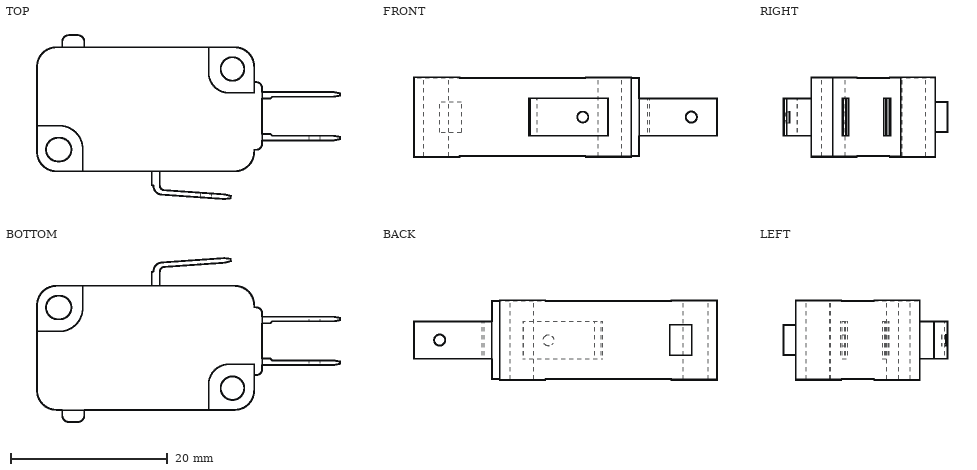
import cadquery as cq
import math

BODY_LENGTH = 27.77
BODY_WIDTH = 15.88
BODY_HEIGHT = 10.0
CORNER_RADIUS = 2.5

PAD_SIZE = 5.85
PAD_RISE = 0.1
ROUND_PAD_RADIUS = 2.65
SLOT_PAD_RADIUS = 3.0
HOLE_DIAMETER = 3.0
HOLE_INSET = 2.8
SLOT_LENGTH = 3.2
CUT_HEIGHT = 2 * BODY_HEIGHT

BLOCK_END = 28.78
BLOCK_BOTTOM = 2.75
BLOCK_TOP = 11.43
BLOCK_RADIUS = 0.77

PLUNGER_LEFT = 3.2
PLUNGER_WIDTH = 2.85
PLUNGER_RISE = 1.55
PLUNGER_RADIUS = 0.9
PLUNGER_HEIGHT = 3.87

BLADE_WIDTH = 4.8
BLADE_THICKNESS = 0.62
BLADE_HOLE_DIAMETER = 1.4
TERMINAL_END = 38.73
TERMINAL_HOLE_X = 35.45
TIP_LENGTH = 0.8
TIP_BEVEL = 0.15
ROOT_END = 29.82
ROOT_STEP = 0.25
UPPER_TERMINAL_FACE = 10.15
LOWER_TERMINAL_FACE = 3.95

BENT_LEFT = 14.65
BENT_STEP_Y = -1.75
BEND_OUTER_RADIUS = 1.15
BEND_INNER_RADIUS = BEND_OUTER_RADIUS - BLADE_THICKNESS
BEND_CENTER_X = BENT_LEFT + ROOT_STEP + BEND_OUTER_RADIUS
BEND_CENTER_Y = -1.82
BENT_BLADE_ANGLE = 4.0
BENT_BLADE_LENGTH = 8.83
BENT_HOLE_X = 21.57


def slab(outline, height):
    """Extrude a closed XY outline evenly above and below Z = 0."""
    return outline.extrude(height / 2, both=True)


def plate(left, right, bottom, top, height):
    """Rectangular plate centered on Z = 0."""
    center = ((left + right) / 2, (bottom + top) / 2)
    return slab(cq.Workplane("XY").center(*center).rect(right - left, top - bottom), height)


def rounded_housing(height):
    return plate(0, BODY_LENGTH, 0, BODY_WIDTH, height).edges("|Z").fillet(CORNER_RADIUS)


def make_housing():
    """Housing with pads that follow its rounded corners on both faces."""
    pad_height = BODY_HEIGHT + 2 * PAD_RISE
    slot_pad = plate(0, PAD_SIZE, 0, PAD_SIZE, pad_height)
    slot_pad = slot_pad.edges("|Z and >X and >Y").fillet(SLOT_PAD_RADIUS)
    round_pad = plate(
        BODY_LENGTH - PAD_SIZE, BODY_LENGTH, BODY_WIDTH - PAD_SIZE, BODY_WIDTH, pad_height
    )
    round_pad = round_pad.edges("|Z and <X and <Y").fillet(ROUND_PAD_RADIUS)
    pads = slot_pad.union(round_pad).intersect(rounded_housing(pad_height))
    return rounded_housing(BODY_HEIGHT).union(pads)


def make_terminal_block():
    block_start = BODY_LENGTH - CORNER_RADIUS
    block = plate(block_start, BLOCK_END, BLOCK_BOTTOM, BLOCK_TOP, BODY_HEIGHT)
    return block.edges("|Z and >X").fillet(BLOCK_RADIUS)


def make_plunger():
    plunger = plate(
        PLUNGER_LEFT,
        PLUNGER_LEFT + PLUNGER_WIDTH,
        BODY_WIDTH - CORNER_RADIUS,
        BODY_WIDTH + PLUNGER_RISE,
        PLUNGER_HEIGHT,
    )
    return plunger.edges("|Z and >Y").fillet(PLUNGER_RADIUS)


def blade_hole(x):
    """Circle for a hole along Y through a blade."""
    return cq.Workplane("XZ").center(x, 0).circle(BLADE_HOLE_DIAMETER / 2)


def make_terminal(outer_face, inward):
    """Straight terminal; inward is the Y direction from its outer face to its stepped face."""
    inner_face = outer_face + inward * BLADE_THICKNESS
    root_face = inner_face + inward * ROOT_STEP
    bevel = inward * TIP_BEVEL
    tip_start = TERMINAL_END - TIP_LENGTH
    outline = cq.Workplane("XY").polyline([
        (BODY_LENGTH, outer_face),
        (tip_start, outer_face),
        (TERMINAL_END, outer_face + bevel),
        (TERMINAL_END, inner_face - bevel),
        (tip_start, inner_face),
        (ROOT_END + ROOT_STEP, inner_face),
        (ROOT_END, root_face),
        (BODY_LENGTH, root_face),
    ]).close()
    hole = blade_hole(TERMINAL_HOLE_X).extrude(BODY_WIDTH, both=True)
    return slab(outline, BLADE_WIDTH).cut(hole)


def make_bent_terminal():
    """Terminal that leaves the -Y wall and bends toward +X along a sloping blade."""
    slope = math.radians(BENT_BLADE_ANGLE)

    def blade_point(along, radius):
        """Point at a distance along the blade and a radius below the outer bend center."""
        return (
            BEND_CENTER_X + along * math.cos(slope) - radius * math.sin(slope),
            BEND_CENTER_Y - along * math.sin(slope) - radius * math.cos(slope),
        )

    def bend_point(center, radius, angle):
        return (
            center[0] + radius * math.cos(angle),
            center[1] + radius * math.sin(angle),
        )

    outer_center = blade_point(0, 0)
    inner_center = blade_point(ROOT_STEP, 0)
    middle_angle = math.pi + (math.pi / 2 - slope) / 2
    outer_middle = bend_point(outer_center, BEND_OUTER_RADIUS, middle_angle)
    inner_middle = bend_point(inner_center, BEND_INNER_RADIUS, middle_angle)
    inner_start = bend_point(inner_center, BEND_INNER_RADIUS, math.pi)
    tip_start = BENT_BLADE_LENGTH - TIP_LENGTH
    outline = (
        cq.Workplane("XY")
        .moveTo(inner_start[0], CORNER_RADIUS)
        .lineTo(BENT_LEFT, CORNER_RADIUS)
        .lineTo(BENT_LEFT, BENT_STEP_Y)
        .lineTo(BENT_LEFT + ROOT_STEP, BEND_CENTER_Y)
        .threePointArc(outer_middle, blade_point(0, BEND_OUTER_RADIUS))
        .lineTo(*blade_point(tip_start, BEND_OUTER_RADIUS))
        .lineTo(*blade_point(BENT_BLADE_LENGTH, BEND_OUTER_RADIUS - TIP_BEVEL))
        .lineTo(*blade_point(BENT_BLADE_LENGTH, BEND_INNER_RADIUS + TIP_BEVEL))
        .lineTo(*blade_point(tip_start, BEND_INNER_RADIUS))
        .lineTo(*blade_point(ROOT_STEP, BEND_INNER_RADIUS))
        .threePointArc(inner_middle, inner_start)
        .close()
    )
    hole = blade_hole(BENT_HOLE_X).extrude(BODY_WIDTH, both=True)
    return slab(outline, BLADE_WIDTH).cut(hole)


def make_mounting_holes():
    """Round hole near the +X +Y corner, slotted hole near the origin."""
    slot = cq.Workplane("XY").center(HOLE_INSET, HOLE_INSET).slot2D(SLOT_LENGTH, HOLE_DIAMETER)
    round_hole = (
        cq.Workplane("XY")
        .center(BODY_LENGTH - HOLE_INSET, BODY_WIDTH - HOLE_INSET)
        .circle(HOLE_DIAMETER / 2)
    )
    return slab(slot, CUT_HEIGHT).union(slab(round_hole, CUT_HEIGHT))


result = (
    make_housing()
    .union(make_terminal_block())
    .union(make_plunger())
    .union(make_terminal(UPPER_TERMINAL_FACE, -1))
    .union(make_terminal(LOWER_TERMINAL_FACE, 1))
    .union(make_bent_terminal())
    .cut(make_mounting_holes())
)